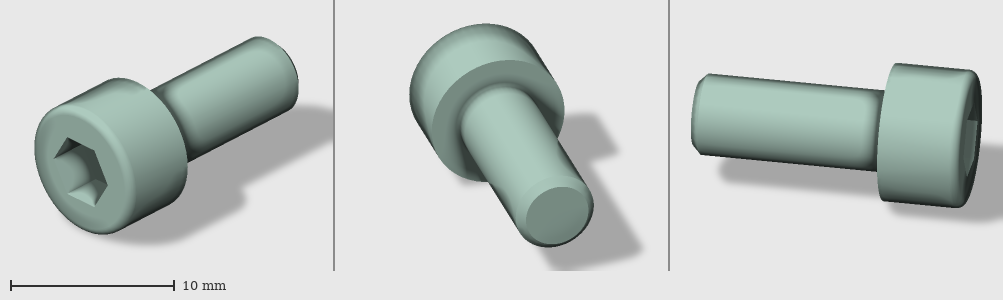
import cadquery as cq
import math

thread_diameter = 5.0
shank_length = 12.0
head_diameter = 8.5
head_height = thread_diameter
tip_chamfer = 0.5
head_edge_radius = 0.5
under_head_radius = 0.2
hex_across_flats = 4.0
hex_depth = 2.5

shank_radius = thread_diameter / 2
head_radius = head_diameter / 2


def make_body():
    """Revolve the half profile (radius along X, length along Y) about the Y axis."""
    arc_offset = math.sqrt(0.5)
    edge_center_r = head_radius - head_edge_radius
    edge_center_y = -head_height + head_edge_radius
    neck_center_r = shank_radius + under_head_radius
    edge_mid = (
        edge_center_r + head_edge_radius * arc_offset,
        edge_center_y - head_edge_radius * arc_offset,
    )
    neck_mid = (
        neck_center_r - under_head_radius * arc_offset,
        under_head_radius * (1 - arc_offset),
    )
    return (
        cq.Workplane("XY")
        .moveTo(0, -head_height)
        .lineTo(edge_center_r, -head_height)
        .threePointArc(edge_mid, (head_radius, edge_center_y))
        .lineTo(head_radius, 0)
        .lineTo(neck_center_r, 0)
        .threePointArc(neck_mid, (shank_radius, under_head_radius))
        .lineTo(shank_radius, shank_length - tip_chamfer)
        .lineTo(shank_radius - tip_chamfer, shank_length)
        .lineTo(0, shank_length)
        .close()
        .revolve(360, (0, 0, 0), (0, 1, 0))
    )


def make_hex_socket():
    """Hexagonal prism with two corners on the X axis, sunk from the head's end face."""
    across_corners = hex_across_flats / math.cos(math.pi / 6)
    return (
        cq.Workplane("XZ", origin=(0, -head_height, 0))
        .polygon(6, across_corners)
        .extrude(-hex_depth)
    )


result = make_body().cut(make_hex_socket())